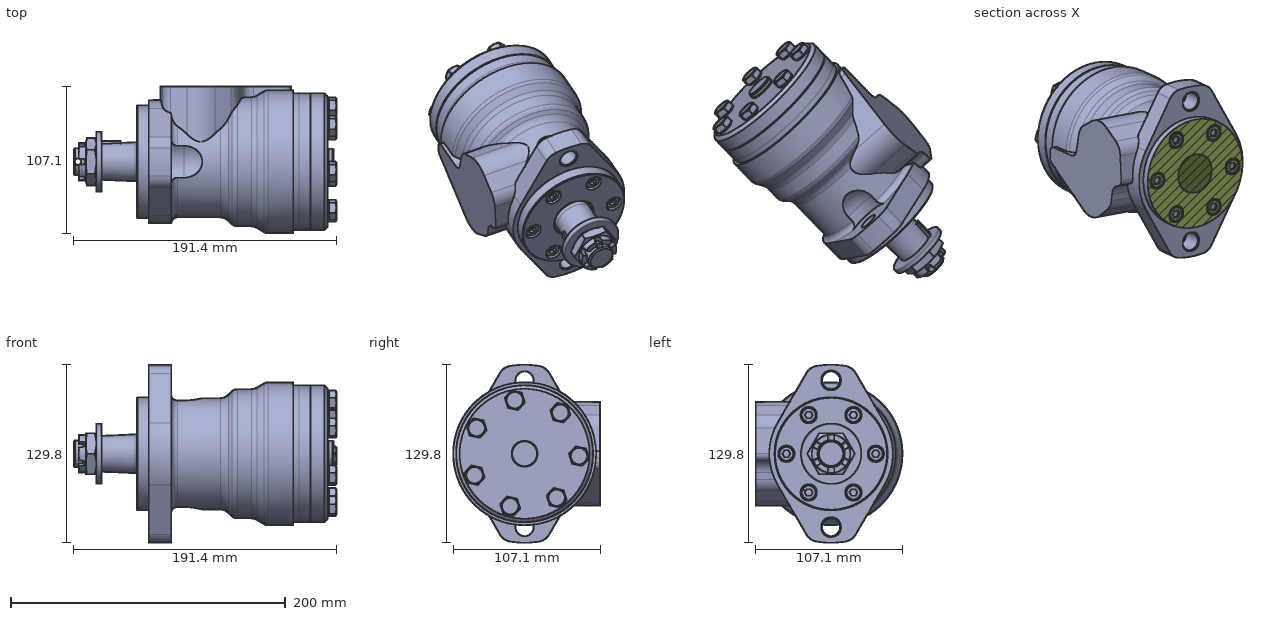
import cadquery as cq
import math


PICK = 0.4
HEX_HALF_ANGLE = math.radians(30)

NUT_START = 3.8
HEX_START = 8.8
WASHER_START = 16.5
WASHER_END = 20.5
TAPER_END = 44.6
PILOT_FACE = 46.1
FLANGE_FACE = 54.5
FLANGE_BACK = 71.2
STEP_1_START = 110.2
STEP_1_END = 116.8
STEP_2_START = 131.5
STEP_2_END = 140.0
HOUSING_END = 159.8
COVER_SPACER_END = 164.0
COVER_SEAM = 172.0
COVER_FACE = 185.0
PLUG_END = 189.3
BOLT_END = 191.4

PILOT_DIA = 82.5
EDGE_BREAK = 0.5
NECK_DIA = 81.2
MIDDLE_DIA = 94.2
REAR_DIA = 104.1
FLANGE_FILLET = 4.4
CONCAVE_RADIUS = 8.2
CONVEX_RADIUS = 5.7

FLANGE_SIDE_RADIUS = 45.0
FLANGE_TIP_RADIUS = 64.9
FLANGE_CORNER_RADIUS = 11.1
FLANGE_SIDE_ANGLE = 30.0
MOUNT_HOLE_DIA = 13.0
MOUNT_HOLE_OFFSET = 53.4
MOUNT_HOLE_CHAMFER = 0.8
EAR_ANGLES = (90, 270)
RELIEF_RADIUS = 18.5
RELIEF_END = 80.2

SCREW_COUNT = 6
SCREW_CIRCLE_RADIUS = 32.5
SCREW_POCKET_DIA = 12.0
SCREW_POCKET_DEPTH = 5.7
SCREW_HEAD_DIA = 10.3
SCREW_HEAD_CHAMFER = 0.2
SCREW_HEAD_DEPTH = 1.5
SCREW_SOCKET_FLATS = 5.0
SCREW_SOCKET_DEPTH = 2.9

PORT_FACE_Y = 55.0
PORT_BOSS_RADIUS = 20.3
PORT_OUTER_RADIUS = 12.0
PORT_INNER_RADIUS = 10.5
PORT_END_RADIUS = 5.0
PORT_CORNERS = [
    (158.3, 2.0, PORT_END_RADIUS),
    (158.3, -9.5, PORT_END_RADIUS),
    (102.4, -41.7, PORT_BOSS_RADIUS),
    (77.1, -23.5, PORT_OUTER_RADIUS),
    (74.0, -6.3, PORT_INNER_RADIUS),
    (62.5, -4.0, PORT_END_RADIUS),
    (64.9, 25.3, PORT_OUTER_RADIUS),
    (92.6, 41.0, PORT_BOSS_RADIUS),
]
PORT_SHOULDER_ANGLE = 30.0
PORT_SHOULDER_START = (114.5, 28.3)
PORT_SHOULDER_MIDDLE = (121.2, 15.3)
PORT_SHOULDER_END = (131.0, 2.0)

SHAFT_DIA = 28.5
TAPER_SMALL_DIA = 26.5
THREAD_DIA = 20.0
THREAD_CHAMFER = 1.1
SHAFT_END = FLANGE_BACK
SEAL_RECESS_DIA = 32.2
SEAL_RECESS_DEPTH = 2.0
PIN_HOLE_DIA = 4.5
PIN_HOLE_X = 3.3
KEY_WIDTH = 5.0
KEY_LENGTH = 13.8
KEY_TOP = 15.1
WASHER_DIA = 44.0
NUT_FLATS = 30.0
CASTLE_DIA = 28.0
CASTLE_SLOT_CENTER = 6.1
CASTLE_SLOT_COUNT = 6
CASTLE_SLOT_ANGLE = 30
NUT_CROWN_HEIGHT = 1.0

COVER_DIA = 100.0
COVER_CHAMFER = 2.7
SEAM_WIDTH = 0.5
SEAM_DEPTH = 0.2
PLUG_DIA = 19.0
PLUG_TIP_DIA = 18.0
PLUG_COLLAR_DIA = 18.5
PLUG_COLLAR_HEIGHT = 0.8
PLUG_BEVEL = 1.1
BOLT_COUNT = 7
BOLT_CIRCLE_RADIUS = 39.6
BOLT_START_ANGLE = -2.5
BOLT_HEX_ANGLE = -12.6
BOLT_FLATS = 13.0
BOLT_CROWN_ANGLE = 30.0
BOLT_COLLAR_DIA = 11.9
BOLT_COLLAR_HEIGHT = 1.0


def disk(start, end, diameter):
    """Cylinder about the X axis."""
    return cq.Workplane("YZ", origin=(start, 0, 0)).circle(diameter / 2).extrude(end - start)


def hex_prism(start, end, flats):
    """Hexagonal prism about the X axis with two corners on the Y axis."""
    corners_dia = flats / math.cos(HEX_HALF_ANGLE)
    return cq.Workplane("YZ", origin=(start, 0, 0)).polygon(6, corners_dia).extrude(end - start)


def revolved(points):
    """Solid of revolution about the X axis from (x, radius) points."""
    return cq.Workplane("XY").polyline(points).close().revolve(360, (0, 0, 0), (1, 0, 0))


def at_angle(body, radius, angle):
    """Copy of a body moved outward along Y, then turned about the X axis."""
    return body.translate((0, radius, 0)).rotate((0, 0, 0), (1, 0, 0), angle)


def housing_barrel():
    """Stepped round barrel from the flange to the end cover."""
    barrel = revolved([
        (FLANGE_FACE, 0),
        (FLANGE_FACE, NECK_DIA / 2),
        (STEP_1_START, NECK_DIA / 2),
        (STEP_1_END, MIDDLE_DIA / 2),
        (STEP_2_START, MIDDLE_DIA / 2),
        (STEP_2_END, REAR_DIA / 2),
        (HOUSING_END, REAR_DIA / 2),
        (HOUSING_END, 0),
    ])
    blends = [
        (STEP_1_START, CONCAVE_RADIUS),
        (STEP_1_END, CONVEX_RADIUS),
        (STEP_2_START, CONCAVE_RADIUS),
        (STEP_2_END, CONVEX_RADIUS),
    ]
    for x, radius in blends:
        ring = cq.selectors.BoxSelector((x - PICK, -PICK, -PICK), (x + PICK, PICK, PICK))
        barrel = barrel.edges(ring).fillet(radius)
    return barrel


def flange_fillet():
    """Concave ring that blends the barrel into the back of the flange."""
    root = NECK_DIA / 2
    middle = FLANGE_FILLET * (1 - math.sqrt(0.5))
    return (
        cq.Workplane("XY")
        .moveTo(FLANGE_BACK, 0)
        .lineTo(FLANGE_BACK, root + FLANGE_FILLET)
        .threePointArc((FLANGE_BACK + middle, root + middle), (FLANGE_BACK + FLANGE_FILLET, root))
        .lineTo(FLANGE_BACK + FLANGE_FILLET, 0)
        .close()
        .revolve(360, (0, 0, 0), (1, 0, 0))
    )


def flange():
    """Two-ear flange: a round middle, straight tapering sides and rounded tips."""
    side = math.radians(FLANGE_SIDE_ANGLE)
    tangent_y = FLANGE_SIDE_RADIUS * math.cos(side)
    tangent_z = FLANGE_SIDE_RADIUS * math.sin(side)
    corner_angle = side + math.acos(FLANGE_SIDE_RADIUS / FLANGE_TIP_RADIUS)
    corner_y = FLANGE_TIP_RADIUS * math.cos(corner_angle)
    corner_z = FLANGE_TIP_RADIUS * math.sin(corner_angle)
    plate = (
        cq.Workplane("YZ", origin=(FLANGE_FACE, 0, 0))
        .moveTo(tangent_y, -tangent_z)
        .threePointArc((FLANGE_SIDE_RADIUS, 0), (tangent_y, tangent_z))
        .lineTo(corner_y, corner_z)
        .threePointArc((0, FLANGE_TIP_RADIUS), (-corner_y, corner_z))
        .lineTo(-tangent_y, tangent_z)
        .threePointArc((-FLANGE_SIDE_RADIUS, 0), (-tangent_y, -tangent_z))
        .lineTo(-corner_y, -corner_z)
        .threePointArc((0, -FLANGE_TIP_RADIUS), (corner_y, -corner_z))
        .close()
        .extrude(FLANGE_BACK - FLANGE_FACE)
    )
    for y in (-corner_y, corner_y):
        for z in (-corner_z, corner_z):
            corner = cq.selectors.BoxSelector(
                (FLANGE_FACE, y - PICK, z - PICK), (FLANGE_BACK, y + PICK, z + PICK)
            )
            plate = plate.edges("|X").edges(corner).fillet(FLANGE_CORNER_RADIUS)
    return plate


def port_block():
    """Block with two offset bosses whose flat face carries the ports."""
    slope = math.radians(PORT_SHOULDER_ANGLE)
    block = (
        cq.Workplane("XZ")
        .polyline([PORT_SHOULDER_END] + [(x, z) for x, z, radius in PORT_CORNERS])
        .lineTo(*PORT_SHOULDER_START)
        .spline(
            [PORT_SHOULDER_MIDDLE, PORT_SHOULDER_END],
            tangents=[(math.cos(slope), -math.sin(slope)), (1, 0)],
            includeCurrent=True,
        )
        .close()
        .extrude(-PORT_FACE_Y)
    )
    for x, z, radius in PORT_CORNERS:
        corner = cq.selectors.BoxSelector(
            (x - PICK, 0, z - PICK), (x + PICK, PORT_FACE_Y, z + PICK)
        )
        block = block.edges("|Y").edges(corner).fillet(radius)
    return block


def wrench_relief():
    """Round-ended hollow behind a mounting ear, coaxial with its hole."""
    hollow = disk(FLANGE_BACK, RELIEF_END, 2 * RELIEF_RADIUS)
    ball = cq.Workplane("XY").sphere(RELIEF_RADIUS).translate((RELIEF_END, 0, 0))
    in_front = disk(FLANGE_FACE, FLANGE_BACK, 2 * RELIEF_RADIUS)
    return hollow.union(ball.cut(in_front))


def mounting_hole():
    """Through hole for a mounting bolt, chamfered at the flange face."""
    radius = MOUNT_HOLE_DIA / 2
    return revolved([
        (FLANGE_FACE, 0),
        (FLANGE_FACE, radius + MOUNT_HOLE_CHAMFER),
        (FLANGE_FACE + MOUNT_HOLE_CHAMFER, radius),
        (FLANGE_BACK, radius),
        (FLANGE_BACK, 0),
    ])


def screw_recess():
    """Ring pocket and hexagon socket that leave a sunk cap-screw head."""
    pocket = disk(PILOT_FACE, PILOT_FACE + SCREW_POCKET_DEPTH, SCREW_POCKET_DIA)
    head_face = PILOT_FACE + SCREW_HEAD_DEPTH
    head = disk(head_face, PILOT_FACE + SCREW_POCKET_DEPTH, SCREW_HEAD_DIA)
    head = head.faces("<X").edges().chamfer(SCREW_HEAD_CHAMFER)
    socket = hex_prism(head_face, head_face + SCREW_SOCKET_DEPTH, SCREW_SOCKET_FLATS)
    return pocket.cut(head).union(socket)


def make_housing():
    pilot = disk(PILOT_FACE, FLANGE_FACE, PILOT_DIA).faces("<X").edges().chamfer(EDGE_BREAK)
    housing = housing_barrel().union(flange_fillet()).union(port_block())
    for angle in EAR_ANGLES:
        housing = housing.cut(at_angle(wrench_relief(), MOUNT_HOLE_OFFSET, angle))
    housing = housing.union(flange()).union(pilot)
    for angle in EAR_ANGLES:
        housing = housing.cut(at_angle(mounting_hole(), MOUNT_HOLE_OFFSET, angle))
    for index in range(SCREW_COUNT):
        angle = index * 360 / SCREW_COUNT
        housing = housing.cut(at_angle(screw_recess(), SCREW_CIRCLE_RADIUS, angle))
    housing = housing.cut(disk(PILOT_FACE, PILOT_FACE + SEAL_RECESS_DEPTH, SEAL_RECESS_DIA))
    return housing.cut(disk(PILOT_FACE, SHAFT_END, SHAFT_DIA))


def cover_bolt():
    """Hexagon bolt head with a round collar and a chamfered top."""
    collar_end = COVER_FACE + BOLT_COLLAR_HEIGHT
    crown_slope = math.tan(math.radians(BOLT_CROWN_ANGLE))
    crown = revolved([
        (collar_end, 0),
        (collar_end, BOLT_FLATS),
        (BOLT_END - crown_slope * (BOLT_FLATS - BOLT_COLLAR_DIA / 2), BOLT_FLATS),
        (BOLT_END, BOLT_COLLAR_DIA / 2),
        (BOLT_END, 0),
    ])
    head = hex_prism(collar_end, BOLT_END, BOLT_FLATS).intersect(crown)
    return head.union(disk(COVER_FACE, collar_end, BOLT_COLLAR_DIA))


def center_plug():
    """Round plug on a slightly narrower collar, with a bevelled tip."""
    collar_end = COVER_FACE + PLUG_COLLAR_HEIGHT
    return revolved([
        (COVER_FACE, 0),
        (COVER_FACE, PLUG_COLLAR_DIA / 2),
        (collar_end, PLUG_COLLAR_DIA / 2),
        (collar_end, PLUG_DIA / 2),
        (PLUG_END - PLUG_BEVEL, PLUG_DIA / 2),
        (PLUG_END, PLUG_TIP_DIA / 2),
        (PLUG_END, 0),
    ])


def make_end_cover():
    """Rear stack: spacer plate, gear ring and cover with its bolts and center plug."""
    spacer = disk(HOUSING_END, COVER_SPACER_END, COVER_DIA)
    gear_ring = disk(COVER_SPACER_END, COVER_SEAM, COVER_DIA)
    seam = disk(COVER_SEAM, COVER_SEAM + SEAM_WIDTH, COVER_DIA - 2 * SEAM_DEPTH)
    cap = disk(COVER_SEAM + SEAM_WIDTH, COVER_FACE, COVER_DIA)
    cap = cap.faces(">X").edges().chamfer(COVER_CHAMFER)
    cover = spacer
    for layer in (gear_ring, seam, cap, center_plug()):
        cover = cover.union(layer, clean=False)
    bolt = cover_bolt().rotate((0, 0, 0), (1, 0, 0), BOLT_HEX_ANGLE)
    for index in range(BOLT_COUNT):
        angle = math.radians(BOLT_START_ANGLE + index * 360 / BOLT_COUNT)
        place = (0, BOLT_CIRCLE_RADIUS * math.cos(angle), BOLT_CIRCLE_RADIUS * math.sin(angle))
        cover = cover.union(bolt.translate(place), clean=False)
    return cover


def make_key():
    """Square key seated in the +Y side of the shaft taper."""
    key = cq.Workplane("XY").box(KEY_LENGTH, KEY_WIDTH, KEY_WIDTH, centered=(False, False, True))
    return key.translate((WASHER_END, KEY_TOP - KEY_WIDTH, 0))


def make_shaft():
    """Threaded end, taper and journal, with a cross hole for the split pin and a keyway."""
    shaft = revolved([
        (0, 0),
        (0, THREAD_DIA / 2 - THREAD_CHAMFER),
        (THREAD_CHAMFER, THREAD_DIA / 2),
        (WASHER_END, THREAD_DIA / 2),
        (WASHER_END, TAPER_SMALL_DIA / 2),
        (TAPER_END, SHAFT_DIA / 2),
        (SHAFT_END, SHAFT_DIA / 2),
        (SHAFT_END, 0),
    ])
    pin_hole = cq.Workplane("XY").center(PIN_HOLE_X, 0).circle(PIN_HOLE_DIA / 2)
    return shaft.cut(pin_hole.extrude(THREAD_DIA, both=True)).cut(make_key())


def make_washer():
    washer = disk(WASHER_START, WASHER_END, WASHER_DIA).edges().fillet(EDGE_BREAK)
    return washer.cut(disk(WASHER_START, WASHER_END, THREAD_DIA))


def castle_slot():
    """Round-bottomed slot that runs outward along Y from the shaft axis."""
    round_bottom = (
        cq.Workplane("XZ").center(CASTLE_SLOT_CENTER, 0).circle(PIN_HOLE_DIA / 2).extrude(-CASTLE_DIA)
    )
    channel = cq.Workplane("XY").box(
        CASTLE_SLOT_CENTER, CASTLE_DIA, PIN_HOLE_DIA, centered=(False, False, True)
    )
    return round_bottom.union(channel)


def make_nut():
    """Castle nut with its hexagon chamfered on both ends."""
    corner_radius = NUT_FLATS / 2 / math.cos(HEX_HALF_ANGLE)
    chamfer = corner_radius - NUT_FLATS / 2
    blank = revolved([
        (HEX_START, 0),
        (HEX_START, CASTLE_DIA / 2),
        (HEX_START + NUT_CROWN_HEIGHT, corner_radius),
        (WASHER_START - chamfer / 2, corner_radius),
        (WASHER_START, NUT_FLATS / 2),
        (WASHER_START, 0),
    ])
    nut = hex_prism(HEX_START, WASHER_START, NUT_FLATS).intersect(blank)
    nut = nut.union(disk(NUT_START, HEX_START, CASTLE_DIA))
    for index in range(CASTLE_SLOT_COUNT):
        nut = nut.cut(at_angle(castle_slot(), 0, CASTLE_SLOT_ANGLE + index * 360 / CASTLE_SLOT_COUNT))
    return nut.cut(disk(NUT_START, WASHER_START, THREAD_DIA))


housing = make_housing()
end_cover = make_end_cover()
shaft = make_shaft()
key = make_key()
washer = make_washer()
nut = make_nut()

result = cq.Compound.makeCompound([
    housing.val(),
    end_cover.val(),
    shaft.val(),
    key.val(),
    washer.val(),
    nut.val(),
])